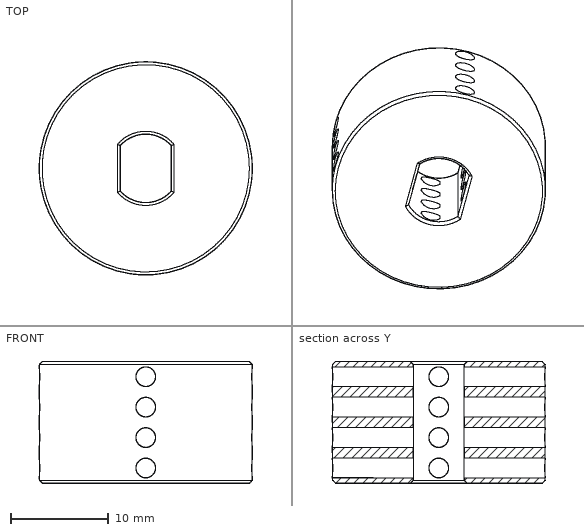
import cadquery as cq

outer_diameter = 21.88
height = 12.5
edge_chamfer = 0.3

bore_diameter = 7.0
flat_spacing = 5.2

hole_diameter = 2.0
hole_count = 4
hole_pitch = height / hole_count


def double_d(diameter, across_flats, length):
    """Cylinder along Z, cut down to a width of across_flats in X."""
    cylinder = cq.Workplane("XY").circle(diameter / 2).extrude(length)
    slab = cq.Workplane("XY").rect(across_flats, diameter).extrude(length)
    return cylinder.intersect(slab)


def cross_holes(plane):
    """Column of pins, normal to the plane, that pass right through the body."""
    heights = [(i + 0.5) * hole_pitch for i in range(hole_count)]
    return (
        cq.Workplane(plane)
        .pushPoints([(0, z) for z in heights])
        .circle(hole_diameter / 2)
        .extrude(outer_diameter, both=True)
    )


body = cq.Workplane("XY").circle(outer_diameter / 2).extrude(height)
body = body.cut(double_d(bore_diameter, flat_spacing, height))

body = body.faces("<Z or >Z").edges().chamfer(edge_chamfer)

result = body.cut(cross_holes("XZ")).cut(cross_holes("YZ"))